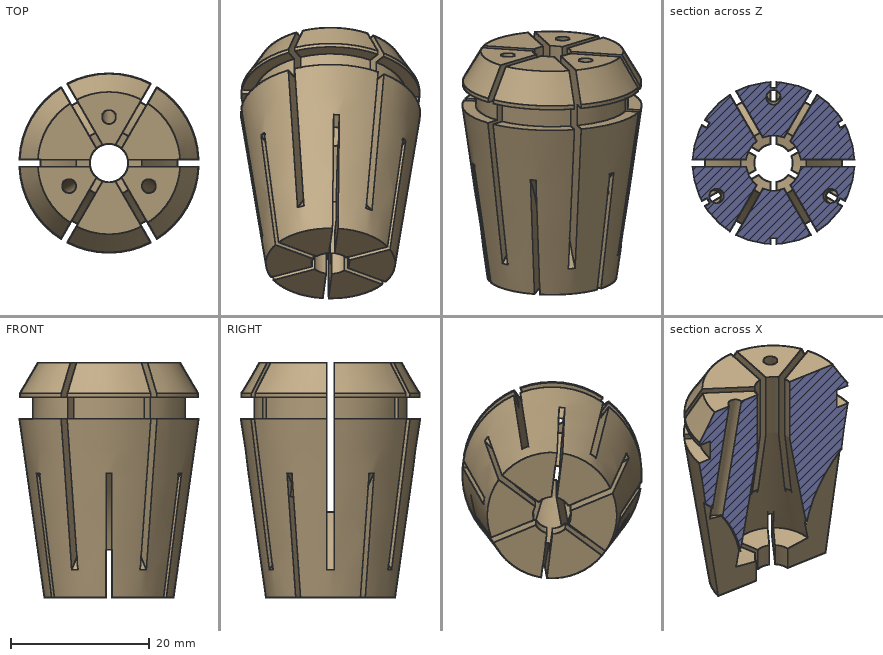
import cadquery as cq
import math


total_height = 34.0
body_diameter = 26.0
body_radius = body_diameter / 2
taper_angle = 8.0
taper_height = 25.87
groove_radius = 11.05
rim_bottom = 28.97
rim_top = 29.55
rim_radius = 12.92
nose_radius = 10.3
taper_slope = math.tan(math.radians(taper_angle))

nose_slot_exit = 4.0

bore_radius = 2.75
relief_corner_height = nose_slot_exit
relief_corner_radius = 6.25
relief_wall_angle = 10.0
relief_floor_angle = 8.0
relief_wall_slope = math.tan(math.radians(relief_wall_angle))
relief_floor_slope = math.tan(math.radians(relief_floor_angle))

slot_count = 6
slot_pitch = 360.0 / slot_count
slot_reach = 17.0

nose_slot_width = 1.02
nose_slot_floor = 12.4
nose_slot_arc = 25.0

back_slot_width = 0.8
back_slot_ceiling = 6.9
back_slot_exit = 18.0
back_slot_arc = 20.75

coolant_hole_count = 3
coolant_hole_diameter = 2.0
coolant_hole_circle_radius = 6.65
coolant_hole_depth = 19.8
coolant_hole_lean = 9.5


def taper_radius(height):
    """Outer radius of the tapered side at a height."""
    return body_radius - (taper_height - height) * taper_slope


def relief_radius(height):
    """Radius of the relief wall, which narrows upward."""
    return relief_corner_radius - (height - relief_corner_height) * relief_wall_slope


def revolve_outline(points):
    outline = cq.Workplane("XZ").polyline(points).close()
    return outline.revolve(360, (0, 0, 0), (0, 1, 0))


def make_body():
    return revolve_outline([
        (0, 0),
        (taper_radius(0), 0),
        (body_radius, taper_height),
        (groove_radius, taper_height),
        (groove_radius, rim_bottom),
        (rim_radius, rim_bottom),
        (rim_radius, rim_top),
        (nose_radius, total_height),
        (0, total_height),
    ])


def make_bore():
    return cq.Workplane("XY").circle(bore_radius).extrude(total_height)


def make_relief():
    """Tapered relief with a shallow dished floor."""
    floor_drop = (relief_corner_radius - bore_radius) * relief_floor_slope
    wall_rise = (relief_corner_radius - bore_radius) / relief_wall_slope
    return revolve_outline([
        (0, relief_corner_height - floor_drop),
        (bore_radius, relief_corner_height - floor_drop),
        (relief_corner_radius, relief_corner_height),
        (bore_radius, relief_corner_height + wall_rise),
        (0, relief_corner_height + wall_rise),
    ])


def make_slot(inner_height, exit_height, open_end, arc_radius, width):
    """Slot along +X from the axis outward; the sign of arc_radius sets which way the arc bows."""
    return (
        cq.Workplane("XZ")
        .moveTo(0, open_end)
        .lineTo(0, inner_height)
        .lineTo(relief_radius(inner_height), inner_height)
        .radiusArc((taper_radius(exit_height), exit_height), arc_radius)
        .lineTo(slot_reach, exit_height)
        .lineTo(slot_reach, open_end)
        .close()
        .extrude(width / 2, both=True)
    )


def make_coolant_hole():
    """Blind hole along +X that leans outward toward the back."""
    lean = math.radians(coolant_hole_lean)
    start = cq.Vector(coolant_hole_circle_radius, 0, total_height)
    direction = cq.Vector(math.sin(lean), 0, -math.cos(lean))
    overshoot = coolant_hole_diameter
    hole = cq.Solid.makeCylinder(
        coolant_hole_diameter / 2,
        coolant_hole_depth + overshoot,
        start - direction * overshoot,
        direction,
    )
    return cq.Workplane(obj=hole)


def cut_around(part, cutter, count, first_angle):
    """Cut a ring of equally spaced copies of a cutter."""
    for index in range(count):
        angle = first_angle + index * 360.0 / count
        part = part.cut(cutter.rotate((0, 0, 0), (0, 0, 1), angle))
    return part


nose_slot = make_slot(nose_slot_floor, nose_slot_exit, total_height, -nose_slot_arc, nose_slot_width)
back_slot = make_slot(back_slot_ceiling, back_slot_exit, 0, back_slot_arc, back_slot_width)

collet = make_body().cut(make_bore()).cut(make_relief())
collet = cut_around(collet, make_coolant_hole(), coolant_hole_count, 90)
collet = cut_around(collet, nose_slot, slot_count, 0)
collet = cut_around(collet, back_slot, slot_count, slot_pitch / 2)

result = collet